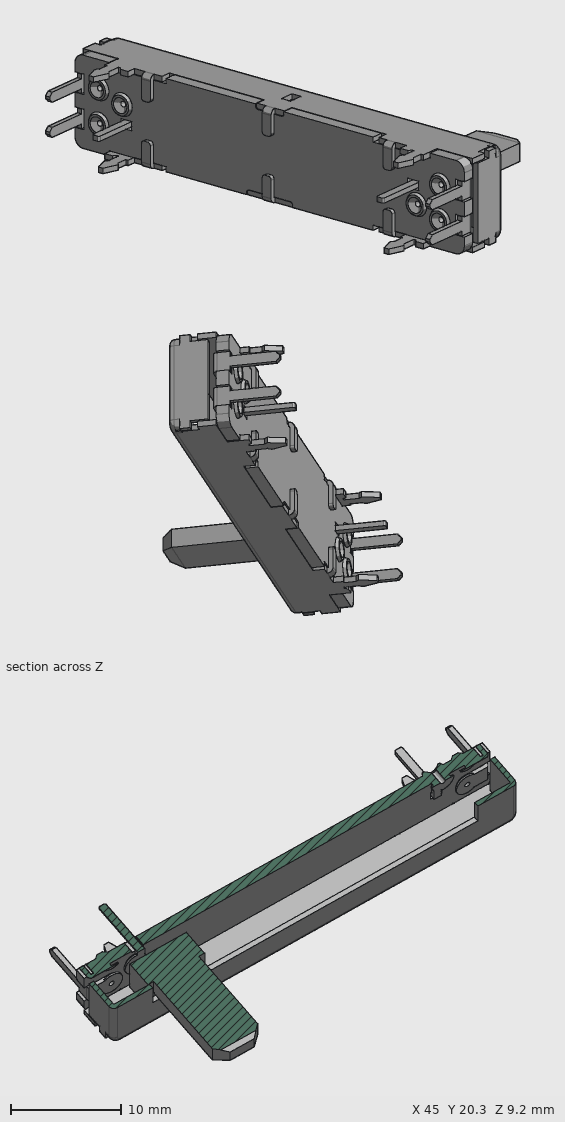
import cadquery as cq


length = 45.0
height = 9.2
cover_face_y = 5.7
sheet = 0.55
bend_radius = 0.55
face_corner_radius = 0.95
face_corner_bottom_y = 4.65
half_length = length / 2
half_height = height / 2
inner_half_height = half_height - sheet
end_wall_bottom_y = 2.0
end_wall_shoulder_y = 3.65
end_wall_half_height = 3.9
corner_slit_bottom_y = 2.95
corner_slit_width = 0.15
window_width = 1.05
window_bottom_y = 2.45
window_top_y = 3.95
travel_slot_length = 36.0
travel_slot_height = 2.9

board_thickness = 1.2
board_edge_setback = 0.05
board_corner_radius = 1.0
tab_bottom_y = 0.15
outer_notch_near_x = 11.95
outer_notch_far_x = 18.55
outer_tab_near_x = 12.5
outer_tab_far_x = 18.4
upper_middle_tab_width = 3.25
lower_middle_tab_width = 5.3
middle_tab_corner_radius = 0.25

staple_x = 13.95
staple_width = 1.05
staple_thickness = 0.428
staple_end_z = 1.95
staple_corner_radius = 0.3

prong_stem_near_x = 15.7
prong_shoulder_y = -0.8
prong_offset_from_far_x = 0.8
prong_neck_half_width = 0.55
prong_barb_half_width = 0.8
prong_tip_half_width = 0.25
prong_neck_end_y = -1.95
prong_barb_y = -2.25
prong_tip_y = -3.82
prong_relief_width = 0.45
prong_relief_top_y = -0.5

terminal_sheet = 0.5
terminal_plate_thickness = 0.4
terminal_tip_y = -4.7
end_terminal_tip_chamfer = 0.35
end_terminal_x = 21.95
end_terminal_z = 1.7
end_terminal_body_height = 1.9
end_terminal_pin_height = 1.0
end_notch_depth = 1.05
end_notch_height = 2.0
middle_terminal_x = 16.42
middle_terminal_z = 0.9
middle_terminal_width = 0.8
middle_terminal_tip_radius = 0.2
middle_opening_x = 16.55
middle_opening_length = 1.25
middle_opening_height = 0.9
middle_opening_z = 1.05
rivet_height = 0.3
rivet_diameter = 2.3
rivet_crown_diameter = 2.0
rivet_funnel_diameter = 1.55
rivet_bore_diameter = 0.55
rivet_funnel_depth = 0.45
rivet_inner_shank_diameter = 1.9
rivet_inner_head_diameter = 2.45
rivet_inner_head_thickness = 0.2
end_rivet_x = 19.7
middle_rivet_x = 17.0
middle_rivet_z = 0.8

lever_x = 15.05
lever_width = 5.05
lever_thickness = 1.8
lever_end_y = 15.6
lever_taper_length = 1.12
lever_tip_width = 2.65
lever_tip_thickness = 1.25
carriage_width = 6.3
carriage_height = 5.4
carriage_bottom_y = 2.25


def block(x_range, y_range, z_range):
    """Box between two limits along each axis, given in either order."""
    limits = [sorted(x_range), sorted(y_range), sorted(z_range)]
    sizes = [high - low for low, high in limits]
    corner = tuple(low for low, high in limits)
    return cq.Workplane("XY").box(*sizes, centered=False).translate(corner)


def around(center, size):
    """Limits of a span of the given size about its centre."""
    return (center - size / 2, center + size / 2)


def make_middle_tab(side, bottom_y):
    """Middle tab of one side wall with its inner corners rounded; also the cutter for its notch."""
    width = upper_middle_tab_width if side > 0 else lower_middle_tab_width
    tab = block(around(0, width), (bottom_y, board_thickness), (side * inner_half_height, side * half_height))
    inner_face = "<Z" if side > 0 else ">Z"
    return tab.faces(inner_face).edges("|Y").fillet(middle_tab_corner_radius)


def make_cover():
    outer_x = (-half_length, half_length)
    outer_z = (-half_height, half_height)
    walls = block(outer_x, (board_thickness, face_corner_bottom_y), outer_z)
    face = block(outer_x, (face_corner_bottom_y, cover_face_y), outer_z)
    face = face.edges("|Y").fillet(face_corner_radius)
    face = face.faces(">Y").edges().fillet(bend_radius)
    inner_half_length = half_length - sheet
    cover = walls.union(face).cut(block(
        (-inner_half_length, inner_half_length),
        (board_thickness, cover_face_y - sheet),
        (-inner_half_height, inner_half_height),
    ))
    for end in (-1, 1):
        inside_x = end * inner_half_length
        outside_x = end * half_length
        cover = cover.cut(block(
            (inside_x, outside_x),
            (board_thickness, end_wall_bottom_y),
            (-inner_half_height, inner_half_height),
        ))
        for side in (-1, 1):
            cover = cover.cut(block(
                (inside_x, inside_x - end * corner_slit_width),
                (corner_slit_bottom_y, cover_face_y - sheet),
                (side * inner_half_height, side * half_height),
            ))
            cover = cover.cut(block(
                (inside_x, outside_x),
                (corner_slit_bottom_y, end_wall_shoulder_y),
                (side * end_wall_half_height, side * half_height),
            ))
            cover = cover.cut(block(
                (inside_x, outside_x),
                (end_wall_bottom_y, corner_slit_bottom_y),
                (side * end_wall_half_height, side * inner_half_height),
            ))
    window = block(
        around(0, window_width),
        (window_bottom_y, window_top_y),
        (inner_half_height, half_height),
    )
    travel_slot = block(
        around(0, travel_slot_length),
        (cover_face_y - sheet, cover_face_y),
        around(0, travel_slot_height),
    )
    return cover.cut(window).cut(travel_slot)


def make_board():
    board_half_height = half_height - board_edge_setback
    board = block((-half_length, half_length), (0, board_thickness), (-board_half_height, board_half_height))
    board = board.edges("|Y").fillet(board_corner_radius)
    for side in (-1, 1):
        notch_z = (side * inner_half_height, side * half_height)
        board = board.cut(make_middle_tab(side, 0))
        for end in (-1, 1):
            notch_x = (end * outer_notch_near_x, end * outer_notch_far_x)
            board = board.cut(block(notch_x, (0, board_thickness), notch_z))
    for end in (-1, 1):
        for side in (-1, 1):
            board = board.cut(block(
                (end * half_length, end * (half_length - end_notch_depth)),
                (0, board_thickness),
                around(side * end_terminal_z, end_notch_height),
            ))
        board = board.cut(block(
            around(end * middle_opening_x, middle_opening_length),
            (0, board_thickness),
            around(end * middle_opening_z, middle_opening_height),
        ))
    return board


def make_tabs():
    tabs = cq.Workplane("XY")
    tab_y = (tab_bottom_y, board_thickness)
    for side in (-1, 1):
        wall_z = (side * inner_half_height, side * half_height)
        tabs = tabs.union(make_middle_tab(side, tab_bottom_y))
        for end in (-1, 1):
            tabs = tabs.union(block((end * outer_tab_near_x, end * outer_tab_far_x), tab_y, wall_z))
    return tabs


def make_staple(x, side):
    foot = block(
        around(x, staple_width),
        (-staple_thickness, 0),
        (side * staple_end_z, side * half_height),
    )
    end_face = "<Z" if side > 0 else ">Z"
    bend_face = ">Z" if side > 0 else "<Z"
    foot = foot.faces(end_face).edges("|Y").fillet(staple_corner_radius)
    leg = block(
        around(x, staple_width),
        (-staple_thickness, board_thickness),
        (side * inner_half_height, side * half_height),
    )
    staple = foot.union(leg)
    return staple.faces(bend_face).edges("<Y").fillet(bend_radius)


def make_prong(end, side):
    """Barbed prong hanging from an outer tab.

    The prong sits toward the far end of its stem on the +Z side and toward the middle on the -Z side.
    """
    stem_middle_x = (prong_stem_near_x + outer_tab_far_x) / 2
    stem_half_width = (outer_tab_far_x - prong_stem_near_x) / 2
    center = stem_half_width - prong_offset_from_far_x
    neck_inside = center - prong_neck_half_width
    neck_outside = center + prong_neck_half_width
    relief_edge = neck_inside - prong_relief_width
    profile = [
        (-stem_half_width, tab_bottom_y),
        (-stem_half_width, prong_shoulder_y),
        (relief_edge, prong_shoulder_y),
        (relief_edge + prong_relief_width / 2, prong_relief_top_y),
        (neck_inside, prong_relief_top_y),
        (neck_inside, prong_neck_end_y),
        (center - prong_barb_half_width, prong_barb_y),
        (center - prong_tip_half_width, prong_tip_y),
        (center + prong_tip_half_width, prong_tip_y),
        (center + prong_barb_half_width, prong_barb_y),
        (neck_outside, prong_neck_end_y),
        (neck_outside, prong_shoulder_y),
        (stem_half_width, prong_shoulder_y),
        (stem_half_width, tab_bottom_y),
    ]
    placed = [(end * (stem_middle_x + side * x), y) for x, y in profile]
    bottom_z = inner_half_height if side > 0 else -half_height
    return cq.Workplane("XY").workplane(offset=bottom_z).polyline(placed).close().extrude(sheet)


def make_end_terminal(end, side):
    z = side * end_terminal_z
    x_range = around(end * end_terminal_x, terminal_sheet)
    plate_y = (board_thickness, board_thickness + terminal_plate_thickness)
    pin = block(x_range, (terminal_tip_y, 0), around(z, end_terminal_pin_height))
    pin = pin.faces("<Y").edges("|X").chamfer(end_terminal_tip_chamfer)
    body = block(x_range, (0, plate_y[1]), around(z, end_terminal_body_height))
    plate = block((end * end_terminal_x, end * end_rivet_x), plate_y, around(z, end_terminal_body_height))
    outer_face = ">X" if end > 0 else "<X"
    body = body.faces(outer_face).edges(">Y").fillet(terminal_plate_thickness)
    head = make_rivet_inner_head(end * end_rivet_x, z)
    return pin.union(body).union(plate).union(head)


def make_middle_terminal(end):
    x_range = around(end * middle_terminal_x, middle_terminal_width)
    z_range = around(end * middle_terminal_z, terminal_sheet)
    plate_y = (board_thickness, board_thickness + terminal_plate_thickness)
    pin = block(x_range, (terminal_tip_y, plate_y[1]), z_range)
    pin = pin.faces("<Y").edges("|Z").fillet(middle_terminal_tip_radius)
    plate = block(x_range, plate_y, (end * middle_terminal_z, -end * middle_rivet_z))
    head = make_rivet_inner_head(end * middle_rivet_x, -end * middle_rivet_z)
    return pin.union(plate).union(head)


def make_rivet_inner_head(x, z):
    """Flat rivet head over the terminal plate, on a shank that reaches the board."""
    shank = cq.Workplane("XZ").circle(rivet_inner_shank_diameter / 2).extrude(-terminal_plate_thickness)
    rim_y = terminal_plate_thickness - rivet_inner_head_thickness
    rim = cq.Workplane("XZ", origin=(0, rim_y, 0)).circle(rivet_inner_head_diameter / 2)
    rim = rim.extrude(-rivet_inner_head_thickness)
    return shank.union(rim).translate((x, board_thickness, z))


def make_rivet_head(x, z):
    """Tapered rivet crown on the outer face of the board."""
    head = (
        cq.Workplane("XZ").circle(rivet_diameter / 2)
        .workplane(offset=rivet_height).circle(rivet_crown_diameter / 2).loft()
    )
    return head.translate((x, 0, z))


def make_rivet_bore(x, z):
    """Funnel mouth narrowing to a bore through board and terminal."""
    funnel = (
        cq.Workplane("XZ", origin=(0, -rivet_height, 0)).circle(rivet_funnel_diameter / 2)
        .workplane(offset=-rivet_funnel_depth).circle(rivet_bore_diameter / 2).loft()
    )
    bore_end_y = board_thickness + terminal_plate_thickness
    bore = cq.Workplane("XZ").circle(rivet_bore_diameter / 2).extrude(-bore_end_y)
    return funnel.union(bore).translate((x, 0, z))


def make_lever():
    shank_end_y = lever_end_y - lever_taper_length
    shank = block(
        around(lever_x, lever_width),
        (carriage_bottom_y, shank_end_y),
        around(0, lever_thickness),
    )
    tip = (
        cq.Workplane("XZ", origin=(lever_x, shank_end_y, 0)).rect(lever_width, lever_thickness)
        .workplane(offset=-lever_taper_length).rect(lever_tip_width, lever_tip_thickness).loft()
    )
    carriage = block(
        around(lever_x, carriage_width),
        (carriage_bottom_y, cover_face_y - sheet),
        around(0, carriage_height),
    )
    return shank.union(tip).union(carriage)


result = make_cover().union(make_board()).union(make_tabs()).union(make_lever())

rivet_places = []
for end in (-1, 1):
    result = result.union(make_middle_terminal(end))
    rivet_places.append((end * middle_rivet_x, -end * middle_rivet_z))
    for side in (-1, 1):
        result = result.union(make_prong(end, side))
        result = result.union(make_end_terminal(end, side))
        rivet_places.append((end * end_rivet_x, side * end_terminal_z))

for side in (-1, 1):
    for x in (-staple_x, 0, staple_x):
        result = result.union(make_staple(x, side))

for x, z in rivet_places:
    result = result.union(make_rivet_head(x, z)).cut(make_rivet_bore(x, z))